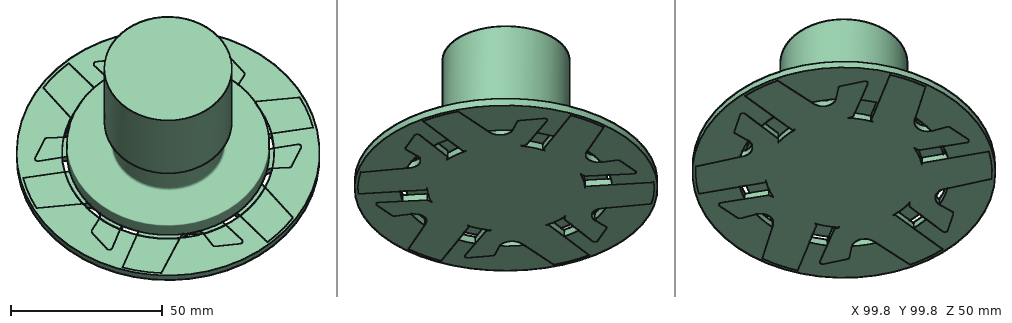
import cadquery as cq
import math

ring_radius = 49.9
ring_bore_radius = 35.0
ring_height = 2.7
cover_thickness = 0.25

flange_radius = 33.4
flange_top = 7.8
flange_edge_fillet = 0.3
neck_radius = 18.5
neck_fillet = 0.8
grip_radius = 42.0 / 2
grip_height = 30.0
knob_top = 50.0

arm_pairs = 6
arm_height = ring_height - cover_thickness
arm_root_radius = 26.0
wide_arm_tip_radius = 48.8
wide_arm_lower_offset = 3.8
wide_arm_lower_tilt = 3.4
wide_arm_upper_offset = 17.3
narrow_arm_outer_corner = (23.6, 38.0)
narrow_arm_heel_corner = (29.0, 28.9)
narrow_arm_heel_tilt = 56.0
narrow_arm_back_tilt = 64.5
narrow_arm_side_length = 18.0
narrow_arm_corner_fillet = 1.0
crotch_fillet = 4.4


def point_along(start, angle, distance):
    """Point at a distance from the start, in a direction given in degrees from +X."""
    turn = math.radians(angle)
    return (start[0] + distance * math.cos(turn), start[1] + distance * math.sin(turn))


def disc(radius, height):
    return cq.Workplane("XY").circle(radius).extrude(height)


def make_wide_arm():
    """Arm with nearly parallel sides and an outer end concentric with the ring."""
    lower_start = (ring_bore_radius, wide_arm_lower_offset)
    root = point_along(lower_start, wide_arm_lower_tilt, arm_root_radius - ring_bore_radius)
    beyond_tip = point_along(lower_start, wide_arm_lower_tilt, ring_radius - ring_bore_radius)
    outline = [
        root,
        beyond_tip,
        (beyond_tip[0], wide_arm_upper_offset),
        (math.sqrt(arm_root_radius**2 - wide_arm_upper_offset**2), wide_arm_upper_offset),
    ]
    blank = cq.Workplane("XY").polyline(outline).close().extrude(arm_height)
    return blank.intersect(disc(wide_arm_tip_radius, arm_height))


def make_narrow_arm():
    """Short arm with a slanted end and rounded corners."""
    outline = [
        point_along(narrow_arm_heel_corner, narrow_arm_heel_tilt, -narrow_arm_side_length),
        narrow_arm_heel_corner,
        narrow_arm_outer_corner,
        point_along(narrow_arm_outer_corner, narrow_arm_back_tilt, -narrow_arm_side_length),
    ]
    blank = cq.Workplane("XY").polyline(outline).close().extrude(arm_height)
    for corner in (narrow_arm_heel_corner, narrow_arm_outer_corner):
        corner_edge = cq.selectors.NearestToPointSelector((*corner, arm_height / 2))
        blank = blank.edges("|Z").edges(corner_edge).fillet(narrow_arm_corner_fillet)
    return blank


def make_arms():
    """All the arms, joined to their root disc, with a fillet where each pair meets."""
    heel_rise = narrow_arm_heel_corner[1] - wide_arm_upper_offset
    heel_length = heel_rise / math.sin(math.radians(narrow_arm_heel_tilt))
    crotch = point_along(narrow_arm_heel_corner, narrow_arm_heel_tilt, -heel_length)
    crotch_edge = cq.selectors.NearestToPointSelector((*crotch, arm_height / 2))
    root_disc = disc(arm_root_radius, arm_height)
    pair = root_disc.union(make_wide_arm()).union(make_narrow_arm())
    pair = pair.edges("|Z").edges(crotch_edge).fillet(crotch_fillet)
    arms = root_disc
    for i in range(arm_pairs):
        arms = arms.union(pair.rotate((0, 0, 0), (0, 0, 1), i * 360 / arm_pairs))
    return arms


def make_knob():
    """Grip, neck and flange as one turned shape, standing on the arms and one solid with them."""
    grip_bottom = knob_top - grip_height
    neck_top = grip_bottom - (grip_radius - neck_radius)
    fillet_middle = neck_fillet * (1 - math.sqrt(0.5))
    edge_middle = flange_edge_fillet * (1 - math.sqrt(0.5))
    profile = (
        cq.Workplane("XZ")
        .moveTo(0, arm_height)
        .lineTo(flange_radius, arm_height)
        .lineTo(flange_radius, flange_top - flange_edge_fillet)
        .threePointArc(
            (flange_radius - edge_middle, flange_top - edge_middle),
            (flange_radius - flange_edge_fillet, flange_top),
        )
        .lineTo(neck_radius + neck_fillet, flange_top)
        .threePointArc(
            (neck_radius + fillet_middle, flange_top + fillet_middle),
            (neck_radius, flange_top + neck_fillet),
        )
        .lineTo(neck_radius, neck_top)
        .lineTo(grip_radius, grip_bottom)
        .lineTo(grip_radius, knob_top)
        .lineTo(0, knob_top)
        .close()
    )
    return profile.revolve(360, (0, 0, 0), (0, 1, 0)).union(make_arms())


def make_ring():
    """Flat ring with pockets in its underside that hold the arms."""
    return disc(ring_radius, ring_height).cut(disc(ring_bore_radius, ring_height)).cut(make_arms())


knob = make_knob()
ring = make_ring()
result = cq.Compound.makeCompound([knob.val(), ring.val()])